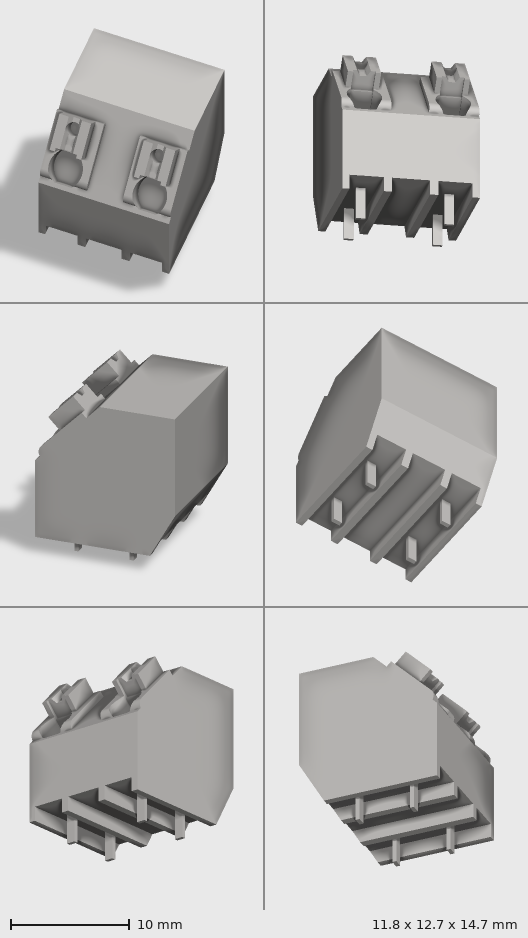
import cadquery as cq
import math

HOUSING_WIDTH = 11.82
HOUSING_DEPTH = 12.7
HOUSING_HEIGHT = 12.95
BEVEL_LEG = 5.86
REAR_BEVEL_DEPTH = 2.29
REAR_BEVEL_HEIGHT = 4.02

TERMINAL_PITCH = 7.62
FIRST_TERMINAL_X = 2.08
TERMINAL_XS = [FIRST_TERMINAL_X, FIRST_TERMINAL_X + TERMINAL_PITCH]

CHANNEL_HEIGHT = 1.26
TERMINAL_CHANNEL_WIDTH = 2.95
MIDDLE_CHANNEL_START = 4.24
MIDDLE_CHANNEL_END = 7.54

PIN_WIDTH = 0.82
PIN_THICKNESS = 0.37
PIN_PROJECTION = 1.47
PIN_SHIFT = 0.06
FRONT_PIN_Y = 3.08
PIN_ROW_PITCH = 5.0

BEVEL_LENGTH = BEVEL_LEG * math.sqrt(2)
TOP_MARGIN = 1.73
LEVER_TOP = BEVEL_LENGTH - TOP_MARGIN

PAD_WIDTH = 4.37
PAD_HEIGHT = 0.59
PAD_TOP = LEVER_TOP
PAD_FOOT = 0.6
PAD_NOSE_RADIUS = 0.73

LEVER_WIDTH = 2.86
LEVER_LENGTH = 3.21
LEVER_OUT = 2.08
LEVER_BOTTOM = LEVER_TOP - LEVER_LENGTH
NOTCH_WIDTH = 1.92
NOTCH_LENGTH = 0.31
NOTCH_FLOOR = 0.31
GROOVE_WIDTH = 1.19
GROOVE_FLOOR_WIDTH = 0.59
GROOVE_DEPTH = 0.5
TOOL_HOLE_DIAMETER = 1.2
TOOL_HOLE_DROP = 0.98

CAVITY_FLOOR = -1.29
WIRE_HOLE_WIDTH = 3.0
WIRE_HOLE_FOOT = 0.43
WIRE_HOLE_FOOT_WIDTH = 1.54
WINDOW_LENGTH = 0.15

BEVEL_ORIGIN = (0, 0, HOUSING_HEIGHT - BEVEL_LEG)
BEVEL_FACE = cq.Plane(origin=BEVEL_ORIGIN, xDir=(1, 0, 0), normal=(0, -1, 1))
BEVEL_SIDE = cq.Plane(origin=BEVEL_ORIGIN, xDir=(0, 1, 1), normal=(1, 0, 0))


def bevel_block(center_x, width, up_range, out_range):
    """Box aligned with the bevel, centred on center_x."""
    low, high = up_range
    inner, outer = out_range
    return (
        cq.Workplane(BEVEL_FACE)
        .workplane(offset=inner)
        .center(center_x, (low + high) / 2)
        .rect(width, high - low)
        .extrude(outer - inner)
    )


def bevel_cylinder(center_x, up, diameter, out_range):
    """Cylinder standing at a right angle to the bevel."""
    inner, outer = out_range
    return (
        cq.Workplane(BEVEL_FACE)
        .workplane(offset=inner)
        .center(center_x, up)
        .circle(diameter / 2)
        .extrude(outer - inner)
    )


def make_block():
    """Housing block with the front and rear bevels."""
    return (
        cq.Workplane("YZ")
        .moveTo(0, 0)
        .lineTo(HOUSING_DEPTH - REAR_BEVEL_DEPTH, 0)
        .lineTo(HOUSING_DEPTH, REAR_BEVEL_HEIGHT)
        .lineTo(HOUSING_DEPTH, HOUSING_HEIGHT)
        .lineTo(BEVEL_LEG, HOUSING_HEIGHT)
        .lineTo(0, HOUSING_HEIGHT - BEVEL_LEG)
        .close()
        .extrude(HOUSING_WIDTH)
    )


def make_pad(center_x):
    """Raised pad with a rounded lower nose, trimmed at the housing sides."""
    left = max(center_x - PAD_WIDTH / 2, 0)
    right = min(center_x + PAD_WIDTH / 2, HOUSING_WIDTH)
    nose_center_out = PAD_HEIGHT - PAD_NOSE_RADIUS
    nose_length = math.sqrt(PAD_NOSE_RADIUS**2 - nose_center_out**2)
    nose_up = PAD_FOOT + nose_length
    half_angle = math.atan2(nose_length, -nose_center_out) / 2
    nose_middle = (
        nose_up - PAD_NOSE_RADIUS * math.sin(half_angle),
        nose_center_out + PAD_NOSE_RADIUS * math.cos(half_angle),
    )
    return (
        cq.Workplane(BEVEL_SIDE)
        .workplane(offset=left)
        .moveTo(PAD_FOOT, 0)
        .threePointArc(nose_middle, (nose_up, PAD_HEIGHT))
        .lineTo(PAD_TOP, PAD_HEIGHT)
        .lineTo(PAD_TOP, 0)
        .close()
        .extrude(right - left)
    )


def make_channel(left, right):
    """Channel through the underside from front to rear."""
    channel = cq.Workplane("XY").box(right - left, HOUSING_DEPTH, CHANNEL_HEIGHT, centered=False)
    return channel.translate((left, 0, 0))


def make_lever_body(center_x):
    """Plain lever block, also used to cut its slot."""
    return bevel_block(center_x, LEVER_WIDTH, (LEVER_BOTTOM, LEVER_TOP), (CAVITY_FLOOR, LEVER_OUT))


def make_wire_hole(center_x):
    """Wire hole with round sides, a flat foot and a window towards the lever."""
    half_width = WIRE_HOLE_WIDTH / 2
    half_foot = WIRE_HOLE_FOOT_WIDTH / 2
    half_window = NOTCH_WIDTH / 2
    round_top = LEVER_BOTTOM - WINDOW_LENGTH
    round_middle = (WIRE_HOLE_FOOT + round_top) / 2
    return (
        cq.Workplane(BEVEL_FACE)
        .workplane(offset=CAVITY_FLOOR)
        .center(center_x, 0)
        .moveTo(-half_foot, WIRE_HOLE_FOOT)
        .lineTo(half_foot, WIRE_HOLE_FOOT)
        .threePointArc((half_width, round_middle), (half_window, round_top))
        .lineTo(half_window, LEVER_BOTTOM)
        .lineTo(-half_window, LEVER_BOTTOM)
        .lineTo(-half_window, round_top)
        .threePointArc((-half_width, round_middle), (-half_foot, WIRE_HOLE_FOOT))
        .close()
        .extrude(PAD_HEIGHT - CAVITY_FLOOR)
    )


def make_housing():
    housing = make_block()
    for center_x in TERMINAL_XS:
        housing = housing.union(make_pad(center_x))
    for center_x in TERMINAL_XS:
        half_channel = TERMINAL_CHANNEL_WIDTH / 2
        housing = housing.cut(make_channel(center_x - half_channel, center_x + half_channel))
        housing = housing.cut(make_lever_body(center_x))
        housing = housing.cut(make_wire_hole(center_x))
    return housing.cut(make_channel(MIDDLE_CHANNEL_START, MIDDLE_CHANNEL_END))


def make_groove(center_x):
    """Tapered screwdriver groove along the lever's outer face."""
    return (
        cq.Workplane(BEVEL_FACE)
        .transformed(rotate=(90, 0, 0), offset=(center_x, LEVER_TOP, LEVER_OUT))
        .moveTo(-GROOVE_WIDTH / 2, 0)
        .lineTo(-GROOVE_FLOOR_WIDTH / 2, -GROOVE_DEPTH)
        .lineTo(GROOVE_FLOOR_WIDTH / 2, -GROOVE_DEPTH)
        .lineTo(GROOVE_WIDTH / 2, 0)
        .close()
        .extrude(LEVER_LENGTH)
    )


def make_lever(center_x):
    notch_range = (LEVER_BOTTOM, LEVER_BOTTOM + NOTCH_LENGTH)
    out_range = (NOTCH_FLOOR, LEVER_OUT)
    notch = bevel_block(center_x, NOTCH_WIDTH, notch_range, out_range)
    tool_hole = bevel_cylinder(center_x, LEVER_TOP - TOOL_HOLE_DROP, TOOL_HOLE_DIAMETER, out_range)
    return make_lever_body(center_x).cut(notch).cut(make_groove(center_x)).cut(tool_hole)


def make_pin(center_x, center_y):
    """Solder pin standing against the roof of its channel."""
    return (
        cq.Workplane("XY")
        .workplane(offset=-PIN_PROJECTION)
        .center(center_x, center_y)
        .rect(PIN_WIDTH, PIN_THICKNESS)
        .extrude(PIN_PROJECTION + CHANNEL_HEIGHT)
    )


housing = make_housing()
levers = [make_lever(x) for x in TERMINAL_XS]
pins = [
    make_pin(x + PIN_SHIFT, y)
    for x in TERMINAL_XS
    for y in (FRONT_PIN_Y, FRONT_PIN_Y + PIN_ROW_PITCH)
]

result = cq.Compound.makeCompound(
    [housing.val(), *[lever.val() for lever in levers], *[pin.val() for pin in pins]]
)